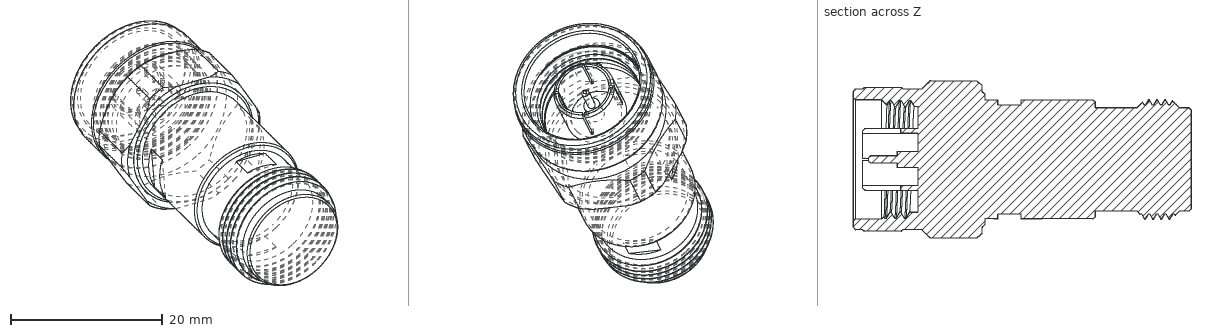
import cadquery as cq
import math


length = 44.7

mouth_radius = 8.95
mouth_chamfer = 0.25
rim_radius = 9.35
band_radius = 9.5
band_start = 1.45
band_end = 6.4
band_bevel = band_radius - rim_radius

hex_sides = 6
hex_flats = 19.1
hex_start = 9.07
hex_end = 17.05
hex_corner_radius = 10.4
hex_front_bevel = hex_corner_radius - rim_radius
hex_back_bevel = 0.65
hex_back_radius = 9.9

collar_end = 17.45
collar_radius = 9.0
collar_chamfer = 0.35
body_radius = 7.85
body_end = 32.0
body_chamfer = 0.25
neck_radius = 6.85
end_chamfer = 0.25

body_flat_start = 19.15
body_flat_length = 3.05
body_flat_offset = 7.25
body_flat_tilt = 4.7
neck_flat_start = 32.85
neck_flat_length = 3.15
neck_flat_offset = 6.5

thread_start = 37.5
thread_end = 43.15
thread_radius = 7.9
thread_root_radius = 7.25
thread_pitch = 1.07
thread_root_width = 0.2
thread_flank_angle = 30.0
groove_overshoot = 0.05
thread_slope = thread_radius - neck_radius
thread_groove_start = 37.25

socket_mouth_radius = 8.15
socket_radius = 7.85
socket_chamfer = socket_mouth_radius - socket_radius
cone_start = 3.75
socket_crest_radius = 6.97
socket_depth = 8.55

socket_thread_start = 3.3
socket_thread_run = 4.55
socket_thread_pitch = 1.3
socket_thread_root_radius = 7.8
socket_thread_root_width = 0.2

tube_start = 1.2
tube_radius = 4.1
tube_chamfer = 0.35
tube_bore_radius = 3.45
slot_width = 0.25
slot_depth = 5.05
pin_start = 2.0
pin_radius = 0.5
pin_chamfer = 0.25
pin_root_radius = 1.07
pin_root_start = 5.8


def turned(points):
    """Solid of revolution about X; points are (x, radius), closed along the axis."""
    outline = [(points[0][0], 0)] + points + [(points[-1][0], 0)]
    return cq.Workplane("XY").polyline(outline).close().revolve(360, (0, 0, 0), (1, 0, 0))


def block(x_start, x_length, y_range, z_range):
    """Box given by its X start and length and its Y and Z limits."""
    size_y = y_range[1] - y_range[0]
    size_z = z_range[1] - z_range[0]
    box = cq.Workplane("XY").box(x_length, size_y, size_z, centered=False)
    return box.translate((x_start, y_range[0], z_range[0]))


def make_shell():
    """Stepped round outside of the whole adapter, without the hexagon."""
    return turned([
        (0, mouth_radius),
        (mouth_chamfer, rim_radius),
        (band_start - band_bevel, rim_radius),
        (band_start, band_radius),
        (band_end, band_radius),
        (band_end + band_bevel, rim_radius),
        (hex_end, rim_radius),
        (hex_end, collar_radius),
        (collar_end - collar_chamfer, collar_radius),
        (collar_end, collar_radius - collar_chamfer),
        (collar_end, body_radius),
        (body_end - body_chamfer, body_radius),
        (body_end, body_radius - body_chamfer),
        (body_end, neck_radius),
        (thread_start, neck_radius),
        (thread_start + thread_slope, thread_radius),
        (thread_end - thread_slope, thread_radius),
        (thread_end, neck_radius),
        (length - end_chamfer, neck_radius),
        (length, neck_radius - end_chamfer),
    ])


def make_hexagon():
    """Hexagon with flats facing +Z and -Z, its corners turned round and bevelled at both ends."""
    corner_diameter = hex_flats / math.cos(math.pi / hex_sides)
    prism = (
        cq.Workplane("YZ", origin=(hex_start, 0, 0))
        .polygon(hex_sides, corner_diameter)
        .extrude(hex_end - hex_start)
    )
    envelope = turned([
        (hex_start, rim_radius),
        (hex_start + hex_front_bevel, hex_corner_radius),
        (hex_end - hex_back_bevel, hex_corner_radius),
        (hex_end, hex_back_radius),
    ])
    return prism.intersect(envelope)


def thread_groove(start, run, pitch, root_radius, mouth_radius, root_width):
    """Helical V groove about X from a narrow flat root to its wider mouth, beginning on the -Z side."""
    depth = mouth_radius - root_radius
    root_half = root_width / 2
    mouth_half = root_half + abs(depth) * math.tan(math.radians(thread_flank_angle))
    helix = cq.Wire.makeHelix(pitch, run, root_radius)
    groove = (
        cq.Workplane("XZ")
        .polyline([
            (root_radius, -root_half),
            (mouth_radius, -mouth_half),
            (mouth_radius, mouth_half),
            (root_radius, root_half),
        ])
        .close()
        .sweep(cq.Workplane(obj=helix), isFrenet=True)
    )
    return groove.rotate((0, 0, 0), (0, 1, 0), 90).translate((start, 0, 0))


def make_socket():
    """Round cavity of the plug, narrowed by a cone to the crests of the internal thread."""
    return turned([
        (0, socket_mouth_radius),
        (socket_chamfer, socket_radius),
        (cone_start, socket_radius),
        (cone_start + socket_radius - socket_crest_radius, socket_crest_radius),
        (socket_depth, socket_crest_radius),
    ])


def make_contact_tube():
    """Tube standing on the socket floor, split by four slots."""
    tube = turned([
        (tube_start, tube_radius - tube_chamfer),
        (tube_start + tube_chamfer, tube_radius),
        (socket_depth, tube_radius),
    ])
    tube = tube.cut(turned([(tube_start, tube_bore_radius), (socket_depth, tube_bore_radius)]))
    across = (-tube_radius, tube_radius)
    narrow = (-slot_width / 2, slot_width / 2)
    for y_range, z_range in ((across, narrow), (narrow, across)):
        tube = tube.cut(block(tube_start, slot_depth, y_range, z_range))
    return tube


def make_pin():
    """Centre pin with a bevelled tip and a thicker root."""
    return turned([
        (pin_start, pin_radius - pin_chamfer),
        (pin_start + pin_chamfer, pin_radius),
        (pin_root_start, pin_radius),
        (pin_root_start, pin_root_radius),
        (socket_depth, pin_root_radius),
    ])


def cut_wrench_flats(solid):
    """Cut the body flats, slightly turned about X from +Y and -Y, and the neck flats facing +Z and -Z."""
    wide = (-body_radius, body_radius)
    for sign in (-1, 1):
        body_limits = sorted((sign * body_flat_offset, sign * hex_corner_radius))
        neck_limits = sorted((sign * neck_flat_offset, sign * hex_corner_radius))
        body_cutter = block(body_flat_start, body_flat_length, body_limits, wide)
        solid = solid.cut(body_cutter.rotate((0, 0, 0), (1, 0, 0), -sign * body_flat_tilt))
        solid = solid.cut(block(neck_flat_start, neck_flat_length, wide, neck_limits))
    return solid


adapter = make_shell().union(make_hexagon())
adapter = cut_wrench_flats(adapter)
adapter = adapter.cut(thread_groove(
    thread_groove_start,
    thread_end - thread_start,
    thread_pitch,
    thread_root_radius,
    thread_radius + groove_overshoot,
    thread_root_width,
))
adapter = adapter.cut(make_socket())
adapter = adapter.cut(thread_groove(
    socket_thread_start,
    socket_thread_run,
    socket_thread_pitch,
    socket_thread_root_radius,
    socket_crest_radius - groove_overshoot,
    socket_thread_root_width,
))
result = adapter.union(make_contact_tube()).union(make_pin())